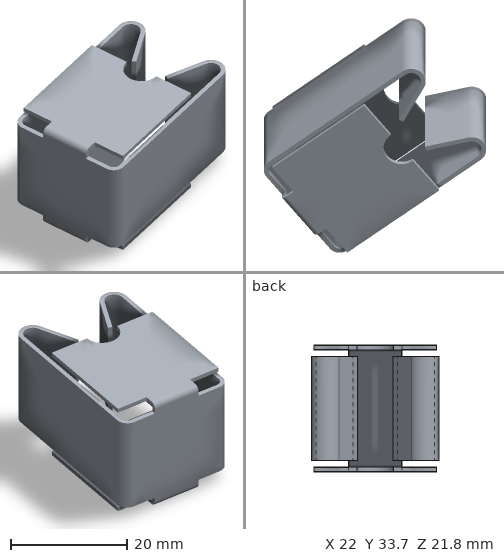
import cadquery as cq
import math

WIDTH = 22.0
LENGTH = 33.7
HEIGHT = 21.8
SHEET = 0.8

BAND_HEIGHT = 17.93
CORNER_RADIUS = 2.02
HOOK_RADIUS = 2.5
LEG_LENGTH = 7.65
LEG_ANGLE = 24.3

FLAP_WIDTH = 21.1
FLAP_LENGTH = 20.0
FLAP_SETBACK = 2.55
TAB_WIDTH = 9.13
TAB_BEND_RADIUS = 1.0
NOTCH_RADIUS = 3.15

BACK_Y = -LENGTH / 2
FLAP_END_Y = BACK_Y + FLAP_SETBACK + FLAP_LENGTH


def make_half_band():
    """Left half of the band, from the middle of the back wall to the hook tip."""
    outer_x = -WIDTH / 2
    inner_x = outer_x + SHEET
    inner_y = BACK_Y + SHEET
    corner_x = outer_x + CORNER_RADIUS
    corner_y = BACK_Y + CORNER_RADIUS
    hook_x = outer_x + HOOK_RADIUS
    hook_y = LENGTH / 2 - HOOK_RADIUS
    hook_inner_radius = HOOK_RADIUS - SHEET
    corner_inner_radius = CORNER_RADIUS - SHEET
    sin_leg = math.sin(math.radians(LEG_ANGLE))
    cos_leg = math.cos(math.radians(LEG_ANGLE))

    def leg_start(radius):
        """Point where the hook's arc runs tangentially into the leg."""
        return hook_x + radius * cos_leg, hook_y + radius * sin_leg

    def leg_tip(radius):
        x, y = leg_start(radius)
        return x + LEG_LENGTH * sin_leg, y - LEG_LENGTH * cos_leg

    def corner_middle(radius):
        offset = radius * math.sqrt(0.5)
        return corner_x - offset, corner_y - offset

    outline = (
        cq.Workplane("XY", origin=(0, 0, -BAND_HEIGHT / 2))
        .moveTo(0, BACK_Y)
        .lineTo(corner_x, BACK_Y)
        .threePointArc(corner_middle(CORNER_RADIUS), (outer_x, corner_y))
        .lineTo(outer_x, hook_y)
        .threePointArc((hook_x, hook_y + HOOK_RADIUS), leg_start(HOOK_RADIUS))
        .lineTo(*leg_tip(HOOK_RADIUS))
        .lineTo(*leg_tip(hook_inner_radius))
        .lineTo(*leg_start(hook_inner_radius))
        .threePointArc((hook_x, hook_y + hook_inner_radius), (inner_x, hook_y))
        .lineTo(inner_x, corner_y)
        .threePointArc(corner_middle(corner_inner_radius), (corner_x, inner_y))
        .lineTo(0, inner_y)
        .close()
    )
    return outline.extrude(BAND_HEIGHT)


def make_top_flap():
    """Notched top flap with the tab that bends down into the back wall."""
    top_z = HEIGHT / 2
    wall_z = BAND_HEIGHT / 2
    flap_bottom_z = top_z - SHEET
    inner_y = BACK_Y + SHEET
    bend_y = BACK_Y + TAB_BEND_RADIUS
    bend_z = top_z - TAB_BEND_RADIUS
    flap_start_y = BACK_Y + FLAP_SETBACK

    def bend_middle(radius):
        offset = radius * math.sqrt(0.5)
        return bend_y - offset, bend_z + offset

    tab = (
        cq.Workplane("YZ")
        .moveTo(BACK_Y, wall_z)
        .lineTo(BACK_Y, bend_z)
        .threePointArc(bend_middle(TAB_BEND_RADIUS), (bend_y, top_z))
        .lineTo(flap_start_y, top_z)
        .lineTo(flap_start_y, flap_bottom_z)
        .lineTo(bend_y, flap_bottom_z)
        .threePointArc(bend_middle(TAB_BEND_RADIUS - SHEET), (inner_y, bend_z))
        .lineTo(inner_y, wall_z)
        .close()
        .extrude(TAB_WIDTH / 2, both=True)
    )
    plate = (
        cq.Workplane("XY", origin=(0, flap_start_y, flap_bottom_z))
        .box(FLAP_WIDTH, FLAP_LENGTH, SHEET, centered=(True, False, False))
    )
    notch = (
        cq.Workplane("XY", origin=(0, FLAP_END_Y, flap_bottom_z))
        .circle(NOTCH_RADIUS)
        .extrude(SHEET)
    )
    return tab.union(plate.cut(notch))


half_band = make_half_band()
band = half_band.union(half_band.mirror("YZ"))
top_flap = make_top_flap()
bottom_flap = top_flap.mirror("XY")

result = band.union(top_flap).union(bottom_flap).clean()